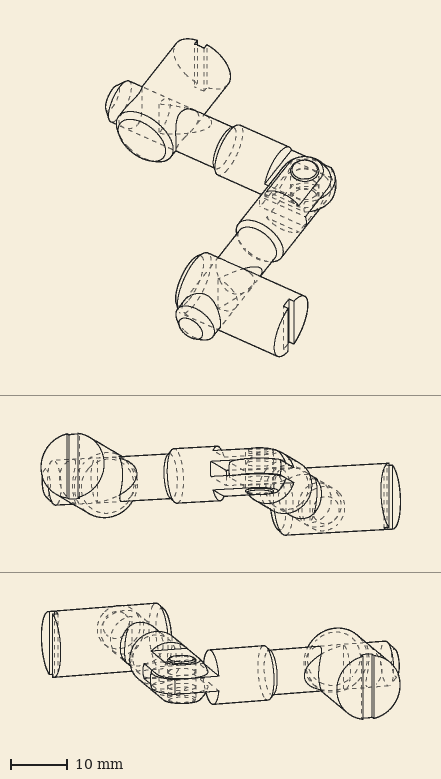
import cadquery as cq
import math


rod_radius = 4.0
rod_reach = 39.5
rod_tip_chamfer = 1.5

head_radius = 4.85
head_reach = 16.45
head_chamfer = head_radius - rod_radius

tongue_thickness = 2.7
tongue_end_radius = 5.55
tongue_reach = 5.45
fork_slot_depth = 7.6
fork_flat_height = 3.55
pin_radius = 2.5
pin_chamfer = 0.25
pin_half_length = fork_flat_height + pin_chamfer

sleeve_radius = 5.86
sleeve_distance = 30.0
sleeve_closed_end = 5.9
sleeve_slotted_end = 15.0
sleeve_chamfer = 1.0
sleeve_slot_width = 1.95
sleeve_slot_depth = 1.0

ramp_start = 21.5

cutter_size = 4 * head_radius


def box_between(x_min, x_max, y_min, y_max, z_min, z_max):
    """Axis-aligned box given by its limits."""
    return cq.Workplane("XY").box(
        x_max - x_min, y_max - y_min, z_max - z_min, centered=False
    ).translate((x_min, y_min, z_min))


def slab_pair(x_min, x_max, inner_height):
    """Two cutters that remove everything above and below +-inner_height."""
    upper = box_between(x_min, x_max, -cutter_size, cutter_size, inner_height, cutter_size)
    return upper.union(upper.mirror("XY"))


def turn_to_second_arm(body):
    """Half turn about the X = Y diagonal, which swaps the X and Y directions."""
    return body.rotate((0, 0, 0), (1, 1, 0), 180)


def rod_ramp():
    """Wedge removed from the +Y flank of the rod, open towards the sleeve's slotted end."""
    slope = rod_radius / (sleeve_distance - ramp_start)
    clearance = rod_radius
    return (
        cq.Workplane("XY")
        .moveTo(-sleeve_distance, 0)
        .lineTo(-ramp_start + clearance / slope, rod_radius + clearance)
        .lineTo(-sleeve_distance, rod_radius + clearance)
        .close()
        .extrude(rod_radius, both=True)
    )


def arm_blank(end_radius):
    """Turned rod and head along -X, with a spherical hinge end centred on the hinge axis."""
    dome_start = math.sqrt(end_radius**2 - head_radius**2)
    arc_middle_angle = math.asin(head_radius / end_radius) / 2
    arc_middle = (end_radius * math.cos(arc_middle_angle), end_radius * math.sin(arc_middle_angle))
    blank = (
        cq.Workplane("XY")
        .moveTo(-rod_reach, 0)
        .lineTo(-rod_reach, rod_radius - rod_tip_chamfer)
        .lineTo(-rod_reach + rod_tip_chamfer, rod_radius)
        .lineTo(-head_reach, rod_radius)
        .lineTo(-head_reach + head_chamfer, head_radius)
        .lineTo(dome_start, head_radius)
        .threePointArc(arc_middle, (end_radius, 0))
        .close()
        .revolve(360, (0, 0, 0), (1, 0, 0))
    )
    return blank.cut(rod_ramp())


def pin_hole():
    """Cutter for the hinge bore through a head."""
    return cq.Workplane("XY").circle(pin_radius).extrude(cutter_size, both=True)


def make_tongue_arm():
    """Arm along -X whose head ends in a flat tongue."""
    cheeks = slab_pair(-tongue_reach, cutter_size, tongue_thickness / 2)
    return arm_blank(tongue_end_radius).cut(cheeks).cut(pin_hole())


def make_fork_arm():
    """Arm along -Y whose head is slotted and flattened into two prongs."""
    slot = box_between(
        -fork_slot_depth, cutter_size,
        -cutter_size, cutter_size,
        -tongue_thickness / 2, tongue_thickness / 2,
    )
    flats = slab_pair(-fork_slot_depth, cutter_size, fork_flat_height)
    fork = arm_blank(head_radius).cut(slot).cut(flats).cut(pin_hole())
    return turn_to_second_arm(fork)


def make_sleeve():
    """Sleeve along Y on the first arm, cross-drilled for the rod and slotted at its +Y end."""
    barrel = (
        cq.Workplane("XZ", origin=(-sleeve_distance, -sleeve_closed_end, 0))
        .circle(sleeve_radius)
        .extrude(-sleeve_closed_end - sleeve_slotted_end)
        .faces("<Y")
        .chamfer(sleeve_chamfer)
    )
    rod_hole = cq.Workplane("YZ").circle(rod_radius).extrude(-rod_reach)
    end_slot = box_between(
        -sleeve_distance - sleeve_slot_width / 2, -sleeve_distance + sleeve_slot_width / 2,
        sleeve_slotted_end - sleeve_slot_depth, sleeve_slotted_end,
        -sleeve_radius, sleeve_radius,
    )
    return barrel.cut(rod_hole).cut(end_slot)


def make_pin():
    """Hinge pin along Z with chamfered ends that stand just proud of the fork flats."""
    return (
        cq.Workplane("XY")
        .circle(pin_radius)
        .extrude(pin_half_length, both=True)
        .faces("<Z or >Z")
        .chamfer(pin_chamfer)
    )


tongue_arm = make_tongue_arm()
fork_arm = make_fork_arm()
hinge_pin = make_pin()

sleeves = cq.Workplane("XY")
for turned in (False, True):
    sleeve = make_sleeve()
    if turned:
        sleeve = turn_to_second_arm(sleeve)
    sleeves.add(sleeve)

result = cq.Compound.makeCompound(
    [tongue_arm.val(), fork_arm.val(), hinge_pin.val(), *sleeves.vals()]
)